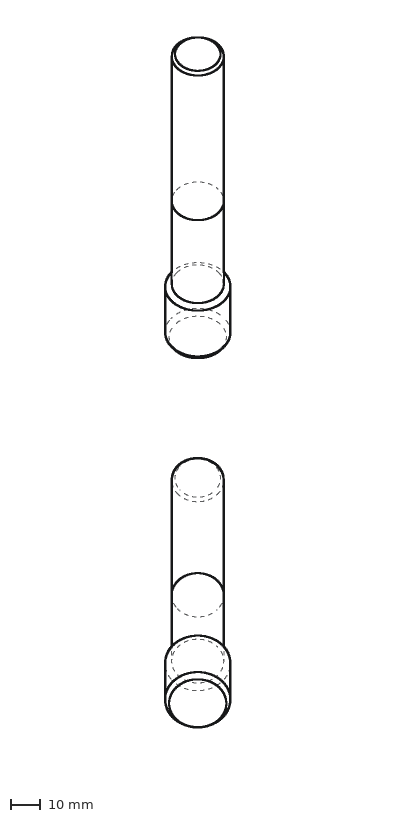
import cadquery as cq
import math

total_length = 140.0
head_diameter = 22.0
shank_diameter = 17.5
head_length = 26.3
lead_chamfer_height = 2.4
cone_angle = 30.0
shank_chamfer = 1.1
joint_height = 67.3

head_radius = head_diameter / 2
shank_radius = shank_diameter / 2
cone_slope = math.tan(math.radians(cone_angle))
lead_radius = head_radius - lead_chamfer_height * cone_slope
back_cone_height = (head_radius - shank_radius) * cone_slope


def revolve_profile(points):
    """Turn a closed (radius, height) outline around the Z axis."""
    return cq.Workplane("XZ").polyline(points).close().revolve(360, (0, 0, 0), (0, 1, 0))


def make_cutter():
    """Cylindrical head with a lead chamfer below and a cone above, carried on a slim neck."""
    return revolve_profile([
        (0, 0),
        (lead_radius, 0),
        (head_radius, lead_chamfer_height),
        (head_radius, head_length - back_cone_height),
        (shank_radius, head_length),
        (shank_radius, joint_height),
        (0, joint_height),
    ])


def make_shank():
    """Plain cylinder that continues the neck, with a chamfered top."""
    return revolve_profile([
        (0, joint_height),
        (shank_radius, joint_height),
        (shank_radius, total_length - shank_chamfer),
        (shank_radius - shank_chamfer, total_length),
        (0, total_length),
    ])


cutter = make_cutter()
shank = make_shank()

result = cq.Compound.makeCompound([cutter.val(), shank.val()])